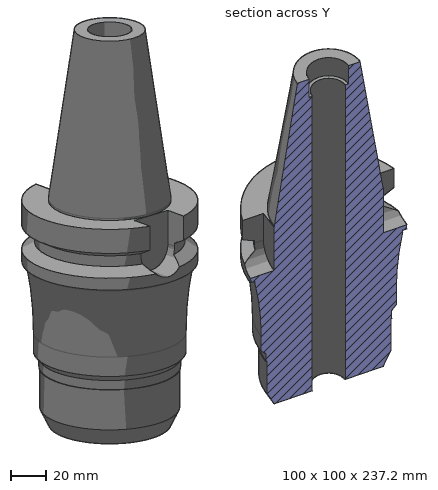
import cadquery as cq
import math

total_height = 237.2
flange_radius = 50.0

nose_end_radius = 34.9
nose_radius = 39.8
nose_chamfer_top = 10.2
collar_radius = 40.3
collar_bottom = 34.5
collar_top = 40.0

body_radius = 43.5
body_bottom = 43.6
flare_bottom = 55.3
flare_top = 96.5
flare_top_radius = 47.5

flange_bottom = 98.0
groove_bottom = 105.0
groove_floor_bottom = 109.5
groove_floor_top = 116.0
groove_top = 120.0
groove_radius = 42.7
flange_top = 134.5

land_top = 135.7
taper_large_radius = 34.9
taper_small_radius = 20.2

bore_radius = 10.5
counterbore_radius = 12.5
counterbore_depth = 13.8

slot_width = 25.5
slot_floor_distance = 35.0
slot_bottom = 101.5


def make_body():
    """Revolve the outer profile around Z."""
    flare_height = flare_top - flare_bottom
    flare_growth = flare_top_radius - body_radius
    arc_radius = (flare_height**2 + flare_growth**2) / (2 * flare_growth)
    half_angle = math.asin(flare_height / arc_radius) / 2
    flare_middle = (
        body_radius + arc_radius * (1 - math.cos(half_angle)),
        flare_bottom + arc_radius * math.sin(half_angle),
    )
    return (
        cq.Workplane("XZ")
        .moveTo(0, 0)
        .lineTo(nose_end_radius, 0)
        .lineTo(nose_radius, nose_chamfer_top)
        .lineTo(nose_radius, collar_bottom)
        .lineTo(collar_radius, collar_bottom)
        .lineTo(collar_radius, collar_top)
        .lineTo(body_radius, body_bottom)
        .lineTo(body_radius, flare_bottom)
        .threePointArc(flare_middle, (flare_top_radius, flare_top))
        .lineTo(flare_top_radius, flange_bottom)
        .lineTo(flange_radius, flange_bottom)
        .lineTo(flange_radius, groove_bottom)
        .lineTo(groove_radius, groove_floor_bottom)
        .lineTo(groove_radius, groove_floor_top)
        .lineTo(flange_radius, groove_top)
        .lineTo(flange_radius, flange_top)
        .lineTo(taper_large_radius, flange_top)
        .lineTo(taper_large_radius, land_top)
        .lineTo(taper_small_radius, total_height)
        .lineTo(0, total_height)
        .close()
        .revolve(360, (0, 0, 0), (0, 1, 0))
    )


def cut_bore(body):
    """Cut the through bore and its counterbore at the small end."""
    bore = cq.Workplane("XY").circle(bore_radius).extrude(total_height)
    counterbore = (
        cq.Workplane("XY", origin=(0, 0, total_height - counterbore_depth))
        .circle(counterbore_radius)
        .extrude(counterbore_depth)
    )
    return body.cut(bore).cut(counterbore)


def make_drive_slot(side):
    """Cutter for the slot on the +X (side = 1) or -X (side = -1) face."""
    half_width = slot_width / 2
    arc_center = slot_bottom + half_width
    return (
        cq.Workplane("YZ", origin=(side * slot_floor_distance, 0, 0))
        .moveTo(-half_width, flange_top)
        .lineTo(-half_width, arc_center)
        .threePointArc((0, slot_bottom), (half_width, arc_center))
        .lineTo(half_width, flange_top)
        .close()
        .extrude(side * (flange_radius - slot_floor_distance))
    )


result = cut_bore(make_body())
for side in (-1, 1):
    result = result.cut(make_drive_slot(side))